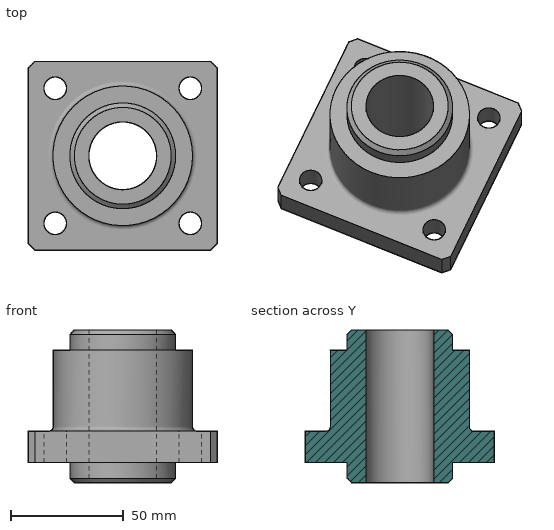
import cadquery as cq

flange_side = 84.0
flange_thickness = 14.0
flange_corner_chamfer = 3.0

mount_hole_diameter = 9.9
mount_hole_spacing = 60.0

housing_diameter = 62.0
housing_height = 36.0
housing_root_fillet = 2.0

bushing_diameter = 47.0
bushing_bore_diameter = 30.0
bushing_protrusion = 9.0
bushing_chamfer = 2.0

flange_top = flange_thickness
housing_top = flange_top + housing_height
bushing_bottom = -bushing_protrusion
bushing_length = housing_top + 2 * bushing_protrusion


def make_flange():
    """Square plate with chamfered vertical corners."""
    plate = cq.Workplane("XY").rect(flange_side, flange_side).extrude(flange_thickness)
    return plate.edges("|Z").chamfer(flange_corner_chamfer)


def make_housing():
    """Cylinder with a concave fillet where it meets the flange."""
    radius = housing_diameter / 2
    foot_radius = radius + housing_root_fillet
    arc_offset = housing_root_fillet * (1 - 0.5 ** 0.5)
    profile = (
        cq.Workplane("XZ")
        .lineTo(foot_radius, 0)
        .lineTo(foot_radius, flange_top)
        .threePointArc(
            (radius + arc_offset, flange_top + arc_offset),
            (radius, flange_top + housing_root_fillet),
        )
        .lineTo(radius, housing_top)
        .lineTo(0, housing_top)
        .close()
    )
    return profile.revolve(360, (0, 0), (0, 1))


def make_bushing():
    """Cylinder with both outer rims chamfered."""
    sleeve = cq.Workplane("XY", origin=(0, 0, bushing_bottom)).circle(bushing_diameter / 2)
    return sleeve.extrude(bushing_length).edges("%CIRCLE").chamfer(bushing_chamfer)


def cut_bore(body):
    """Through bore along the bushing axis."""
    bore = cq.Workplane("XY", origin=(0, 0, bushing_bottom)).circle(bushing_bore_diameter / 2)
    return body.cut(bore.extrude(bushing_length))


def cut_mount_holes(body):
    """Through hole near each flange corner."""
    holes = (
        cq.Workplane("XY")
        .rect(mount_hole_spacing, mount_hole_spacing, forConstruction=True)
        .vertices()
        .circle(mount_hole_diameter / 2)
        .extrude(flange_thickness)
    )
    return body.cut(holes)


body = make_flange().union(make_housing()).union(make_bushing())
result = cut_mount_holes(cut_bore(body))